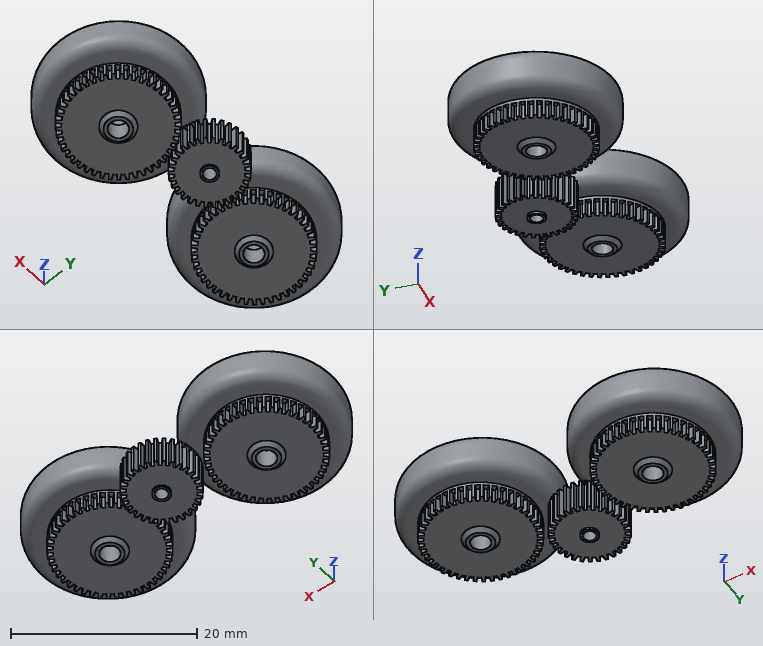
import cadquery as cq
import math


overall_length = 40.35
wheel_diameter = 18.8
wheel_thickness = 4.92
wheel_rounding = 1.4
wheel_bore_diameter = 3.2
collar_diameter = 4.4
collar_height = 0.25
wheel_x = (overall_length - wheel_diameter) / 2

tooth_depth = 0.65
tooth_tip_width = 0.32
tooth_root_width = 0.5
tooth_embed = 0.12

gear_teeth = 45
gear_diameter = 13.52
gear_bore_diameter = 2.3
gear_shift_x = -0.12
gear_shift_y = -0.15
gear_first_tooth_angle = -90.0
shoulder_height = 0.4
gear_tooth_height = 1.75
boss_end_diameter = 3.2
boss_height = 0.5
boss_base_diameter = boss_end_diameter + 2 * boss_height

pinion_teeth = 30
pinion_tip_diameter = 8.9
pinion_height = 3.75
pinion_top_z = 0.15
pinion_x = 0.4
pinion_y = 3.75
pinion_first_tooth_angle = 90 + 180 / pinion_teeth
pin_diameter = 2.05
pin_height = 0.3
pinion_bore_diameter = 1.5
slot_length = 3.0
slot_width = 0.35
recess_depth = (pin_diameter - pinion_bore_diameter) / 2


def cylinder(diameter, height, bottom_z=0.0):
    return cq.Workplane("XY").workplane(offset=bottom_z).circle(diameter / 2).extrude(height)


def toothed_disc(tooth_count, tip_diameter, height, first_angle, bottom_z):
    """Spur gear blank: a root cylinder with straight-sided teeth tapering to rounded tips."""
    tip_radius = tip_diameter / 2
    root_radius = tip_radius - tooth_depth
    tip_corner_radial = math.sqrt(tip_radius**2 - (tooth_tip_width / 2) ** 2)
    tooth = (
        cq.Workplane("XY")
        .workplane(offset=bottom_z)
        .moveTo(root_radius - tooth_embed, -tooth_root_width / 2)
        .lineTo(root_radius, -tooth_root_width / 2)
        .lineTo(tip_corner_radial, -tooth_tip_width / 2)
        .threePointArc((tip_radius, 0), (tip_corner_radial, tooth_tip_width / 2))
        .lineTo(root_radius, tooth_root_width / 2)
        .lineTo(root_radius - tooth_embed, tooth_root_width / 2)
        .close()
        .extrude(height)
    )
    disc = cylinder(2 * root_radius, height, bottom_z).val()
    pitch_angle = 360 / tooth_count
    teeth = [
        tooth.rotate((0, 0, 0), (0, 0, 1), first_angle + i * pitch_angle).val()
        for i in range(tooth_count)
    ]
    return cq.Workplane(disc.fuse(*teeth))


pinion_space = cylinder(pinion_tip_diameter, pinion_height, pinion_top_z - pinion_height).translate(
    (pinion_x, pinion_y, 0)
)


def make_wheel(center_x):
    """Round-edged wheel with a raised collar around its bore."""
    wheel = cylinder(wheel_diameter, wheel_thickness).edges().fillet(wheel_rounding)
    wheel = wheel.union(cylinder(collar_diameter, wheel_thickness + collar_height))
    wheel = wheel.cut(cylinder(wheel_bore_diameter, wheel_thickness + collar_height))
    return wheel.translate((center_x, 0, 0)).cut(pinion_space)


def make_gear(wheel_center_x):
    """Gear with a plain shoulder above its teeth and a tapered boss below them."""
    center = (wheel_center_x + gear_shift_x, gear_shift_y, 0)
    teeth_bottom_z = -shoulder_height - gear_tooth_height
    boss_bottom_z = teeth_bottom_z - boss_height

    shoulder = cylinder(gear_diameter, shoulder_height, -shoulder_height)
    shoulder = shoulder.translate(center).cut(pinion_space)

    teeth = toothed_disc(
        gear_teeth, gear_diameter, gear_tooth_height, gear_first_tooth_angle, teeth_bottom_z
    )
    boss = (
        cq.Workplane("XY")
        .workplane(offset=boss_bottom_z)
        .circle(boss_end_diameter / 2)
        .workplane(offset=boss_height)
        .circle(boss_base_diameter / 2)
        .loft()
    )
    bore = cylinder(gear_bore_diameter, -boss_bottom_z, boss_bottom_z)
    return teeth.union(boss).translate(center).union(shoulder).cut(bore.translate(center))


def make_pinion():
    """Pinion with a short pin below and a cross-slotted cone recessed around its bore above."""
    bottom_z = pinion_top_z - pinion_height
    pin_bottom_z = bottom_z - pin_height
    pinion = toothed_disc(
        pinion_teeth, pinion_tip_diameter, pinion_height, pinion_first_tooth_angle, bottom_z
    )
    pinion = pinion.union(cylinder(pin_diameter, pin_height, pin_bottom_z))
    bore = cylinder(pinion_bore_diameter, pinion_top_z - pin_bottom_z, pin_bottom_z)
    cone = (
        cq.Workplane("XY")
        .workplane(offset=pinion_top_z - recess_depth)
        .circle(pin_diameter / 2)
        .workplane(offset=recess_depth)
        .circle(pinion_bore_diameter / 2)
        .loft()
    )
    cone_recess = cylinder(pin_diameter, recess_depth, pinion_top_z - recess_depth).cut(cone)
    slot = (
        cq.Workplane("XY")
        .workplane(offset=pinion_top_z - recess_depth)
        .rect(slot_length, slot_width)
        .extrude(recess_depth)
    )
    return pinion.cut(bore).cut(cone_recess).cut(slot).translate((pinion_x, pinion_y, 0))


wheel_centers = (-wheel_x, wheel_x)
wheels = [make_wheel(center_x) for center_x in wheel_centers]
gears = [make_gear(center_x) for center_x in wheel_centers]
pinion = make_pinion()

result = cq.Compound.makeCompound(
    [wheel.val() for wheel in wheels] + [gear.val() for gear in gears] + [pinion.val()]
)